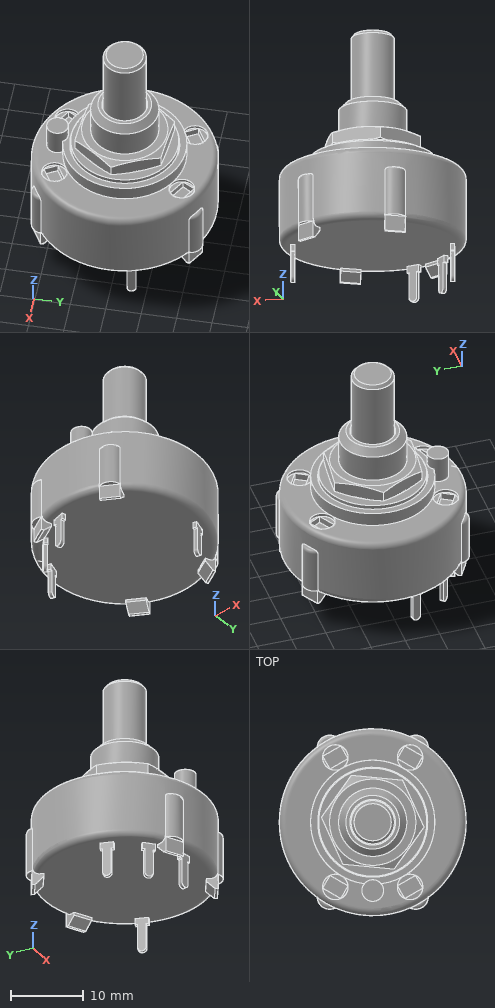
import cadquery as cq
import math

HOOK_BOTTOM_Z = 3.58
TERMINAL_SHOULDER_Z = 4.25
HOOK_BEVEL_TOP_Z = 4.8
HOUSING_BOTTOM_Z = 5.23
RIB_BOTTOM_Z = 5.8
RIB_TOP_Z = 12.78
HOUSING_TOP_Z = 15.82
BOSS_TOP_Z = 17.9
WASHER_TOP_Z = 18.45
PIN_TOP_Z = 19.73
NUT_TOP_Z = 20.75
BUSHING_TOP_Z = 25.8
SHAFT_TOP_Z = 35.8

HOUSING_DIA = 26.0
HOUSING_EDGE_RADIUS = 1.0
BOSS_DIA = 17.25
WASHER_DIA = 15.0
WASHER_RECESS_DIA = 15.3
WASHER_RECESS_DEPTH = 0.5

BUSHING_DIA = 9.5
BUSHING_TIP_DIA = 7.45
BUSHING_CHAMFER_HEIGHT = 1.0
NUT_CORNER_DIA = 14.32
NUT_FACE_DIA = 12.0
NUT_CHAMFER_HEIGHT = 0.43
NUT_TURN = -5.5

SHAFT_DIA = 6.0
SHAFT_BORE_DIA = 6.35
SHAFT_TIP_DIA = 5.15
SHAFT_CHAMFER_HEIGHT = 0.5
SHAFT_BOTTOM_Z = HOUSING_TOP_Z

PIN_DIA = 3.0
PIN_OFFSET = 9.5

CLIP_ANGLE = 60
POCKET_DIA = 3.55
POCKET_OFFSET = 10.38
POCKET_DEPTH = 0.5
WINDOW_LENGTH = 2.9
WINDOW_WIDTH = 2.05
WINDOW_DEPTH = 1.05
RIB_DIA = POCKET_DIA
RIB_OFFSET = 11.92
RIB_TOP_RADIUS = 0.5
HOOK_WIDTH = WINDOW_LENGTH
HOOK_TIP_LENGTH = 0.43
HOOK_ROOT_LENGTH = 1.65
HOOK_SKEW = 10

TERMINAL_ANGLES = (15, 195, 225, 255)
TERMINAL_OFFSET = 11.1
TERMINAL_THICKNESS = 0.57
TERMINAL_WIDTH = 1.25
SHOULDER_WIDTH = 1.9
OVERLAP = 0.7


def cylinder(diameter, bottom_z, top_z):
    return cq.Workplane("XY").workplane(offset=bottom_z).circle(diameter / 2).extrude(top_z - bottom_z)


def in_all_quadrants(shape):
    """Return the shape and its mirror images across the XZ and YZ planes."""
    pair = shape.union(shape.mirror("YZ"))
    return pair.union(pair.mirror("XZ"))


def at_clip(shape, offset):
    """Move a shape out along +X, then swing it to the clip angle."""
    return shape.translate((offset, 0, 0)).rotate((0, 0, 0), (0, 0, 1), CLIP_ANGLE)


def make_case():
    case = cylinder(HOUSING_DIA, HOUSING_BOTTOM_Z, HOUSING_TOP_Z).edges().fillet(HOUSING_EDGE_RADIUS)
    boss = cylinder(BOSS_DIA, HOUSING_TOP_Z - OVERLAP, BOSS_TOP_Z)
    recess = cylinder(WASHER_RECESS_DIA, BOSS_TOP_Z - WASHER_RECESS_DEPTH, BOSS_TOP_Z)
    washer = cylinder(WASHER_DIA, BOSS_TOP_Z - WASHER_RECESS_DEPTH, WASHER_TOP_Z)
    return case.union(boss).cut(recess).union(washer)


def make_bushing():
    bushing = cylinder(BUSHING_DIA, BOSS_TOP_Z, BUSHING_TOP_Z)
    chamfer_width = (BUSHING_DIA - BUSHING_TIP_DIA) / 2
    return bushing.faces(">Z").edges().chamfer(BUSHING_CHAMFER_HEIGHT, chamfer_width)


def make_nut():
    """Hexagon whose corners are trimmed by a cone at each end."""
    height = NUT_TOP_Z - WASHER_TOP_Z
    hexagon = (
        cq.Workplane("XY")
        .workplane(offset=WASHER_TOP_Z)
        .polygon(6, NUT_CORNER_DIA)
        .extrude(height)
        .rotate((0, 0, 0), (0, 0, 1), NUT_TURN)
    )
    cone_width = (NUT_CORNER_DIA - NUT_FACE_DIA) / 2
    trim = cylinder(NUT_CORNER_DIA, WASHER_TOP_Z, NUT_TOP_Z)
    trim = trim.faces(">Z or <Z").edges().chamfer(NUT_CHAMFER_HEIGHT, cone_width)
    return hexagon.intersect(trim)


def make_rib():
    rib = cylinder(RIB_DIA, RIB_BOTTOM_Z, RIB_TOP_Z).faces(">Z").edges().fillet(RIB_TOP_RADIUS)
    return at_clip(rib, RIB_OFFSET)


def make_hook():
    """Bevelled hook whose outer face is a chord of the rib's round."""
    half_width = HOOK_WIDTH / 2
    chord_offset = math.sqrt((RIB_DIA / 2) ** 2 - half_width**2)
    top_z = RIB_BOTTOM_Z + OVERLAP
    profile = [
        (0, HOOK_BOTTOM_Z),
        (-HOOK_TIP_LENGTH, HOOK_BOTTOM_Z),
        (-HOOK_ROOT_LENGTH, HOOK_BEVEL_TOP_Z),
        (-HOOK_ROOT_LENGTH, top_z),
        (0, top_z),
    ]
    skew = math.tan(math.radians(HOOK_SKEW))

    def side_wire(side_y):
        points = [cq.Vector(x, side_y + x * skew, z) for x, z in profile]
        return cq.Wire.makePolygon(points, close=True)

    hook = cq.Solid.makeLoft([side_wire(-half_width), side_wire(half_width)], True)
    return at_clip(cq.Workplane(hook), RIB_OFFSET + chord_offset)


def make_pocket():
    """Round pocket with a rectangular window sunk into its floor."""
    floor_z = HOUSING_TOP_Z - POCKET_DEPTH
    pocket = cylinder(POCKET_DIA, floor_z, HOUSING_TOP_Z)
    window = (
        cq.Workplane("XY")
        .workplane(offset=floor_z)
        .rect(WINDOW_WIDTH, WINDOW_LENGTH)
        .extrude(-WINDOW_DEPTH)
    )
    return at_clip(pocket.union(window), POCKET_OFFSET)


def make_terminal(angle):
    """Flat blade with a round tip and a wider shoulder, set square to the radius."""
    tip_radius = TERMINAL_WIDTH / 2
    half_shoulder = SHOULDER_WIDTH / 2
    top_z = HOUSING_BOTTOM_Z + OVERLAP
    blade = (
        cq.Workplane("YZ")
        .moveTo(-tip_radius, tip_radius)
        .threePointArc((0, 0), (tip_radius, tip_radius))
        .lineTo(tip_radius, TERMINAL_SHOULDER_Z)
        .lineTo(half_shoulder, TERMINAL_SHOULDER_Z)
        .lineTo(half_shoulder, top_z)
        .lineTo(-half_shoulder, top_z)
        .lineTo(-half_shoulder, TERMINAL_SHOULDER_Z)
        .lineTo(-tip_radius, TERMINAL_SHOULDER_Z)
        .close()
        .extrude(TERMINAL_THICKNESS / 2, both=True)
    )
    return blade.translate((TERMINAL_OFFSET, 0, 0)).rotate((0, 0, 0), (0, 0, 1), angle)


def make_housing():
    pin = cylinder(PIN_DIA, HOUSING_TOP_Z - OVERLAP, PIN_TOP_Z).translate((0, -PIN_OFFSET, 0))
    housing = make_case().union(make_bushing()).union(make_nut()).union(pin)
    housing = housing.union(in_all_quadrants(make_rib())).union(in_all_quadrants(make_hook()))
    for angle in TERMINAL_ANGLES:
        housing = housing.union(make_terminal(angle))
    housing = housing.cut(in_all_quadrants(make_pocket()))
    return housing.cut(cylinder(SHAFT_BORE_DIA, SHAFT_BOTTOM_Z, BUSHING_TOP_Z))


def make_shaft():
    shaft = cylinder(SHAFT_DIA, SHAFT_BOTTOM_Z, SHAFT_TOP_Z)
    chamfer_width = (SHAFT_DIA - SHAFT_TIP_DIA) / 2
    return shaft.faces(">Z").edges().chamfer(SHAFT_CHAMFER_HEIGHT, chamfer_width)


housing = make_housing()
shaft = make_shaft()
result = cq.Compound.makeCompound([housing.val(), shaft.val()])